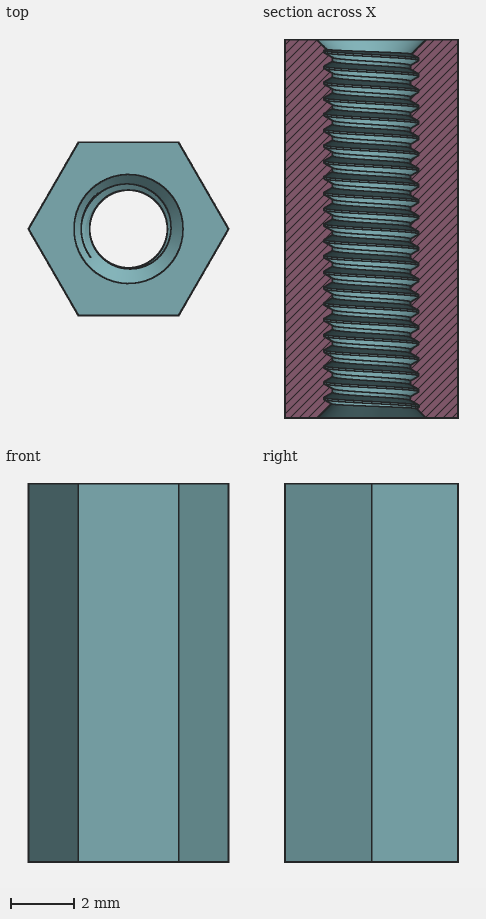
import cadquery as cq
import math

across_flats = 5.5
across_corners = across_flats / math.cos(math.radians(30))
length = 12.0

thread_major_radius = 3.0 / 2
thread_pitch = 0.5
flank_angle = 30.0
flank_slope = math.tan(math.radians(flank_angle))
sharp_height = thread_pitch / 2 / flank_slope
thread_minor_radius = thread_major_radius - 5 / 8 * sharp_height
root_width = thread_pitch / 8

thread_start_z = -thread_pitch
turn_count = math.ceil((length - thread_start_z) / thread_pitch)

countersink_radius = 3.46 / 2
countersink_depth = countersink_radius - thread_minor_radius

cutter_overlap = 0.01


def hexagonal_bar():
    return cq.Workplane("XY").polygon(6, across_corners).extrude(length)


def bore_with_countersinks():
    """Bore at the minor diameter, opened by a cone at each end, as one revolved solid."""
    return (
        cq.Workplane("XZ")
        .lineTo(countersink_radius, 0)
        .lineTo(thread_minor_radius, countersink_depth)
        .lineTo(thread_minor_radius, length - countersink_depth)
        .lineTo(countersink_radius, length)
        .lineTo(0, length)
        .close()
        .revolve(360, (0, 0, 0), (0, 1, 0))
    )


def groove_turn():
    """One right-handed turn of the 60 degree thread groove, starting at the +X axis on Z = 0."""
    inner_radius = thread_minor_radius - cutter_overlap
    half_root = root_width / 2
    half_mouth = half_root + (thread_major_radius - inner_radius) * flank_slope
    helix = cq.Wire.makeHelix(thread_pitch, thread_pitch, inner_radius)
    return (
        cq.Workplane("XZ")
        .moveTo(inner_radius, -half_mouth)
        .lineTo(thread_major_radius, -half_root)
        .lineTo(thread_major_radius, half_root)
        .lineTo(inner_radius, half_mouth)
        .close()
        .sweep(cq.Workplane(helix), isFrenet=True)
    )


def cut_thread(body):
    """Cut the groove one turn at a time, each turn continuing the one below it."""
    turn = groove_turn()
    for index in range(turn_count):
        turn_z = thread_start_z + index * thread_pitch
        body = body.cut(turn.translate((0, 0, turn_z)), clean=False)
    return body


threaded_bar = cut_thread(hexagonal_bar().cut(bore_with_countersinks()))
result = threaded_bar.solids()